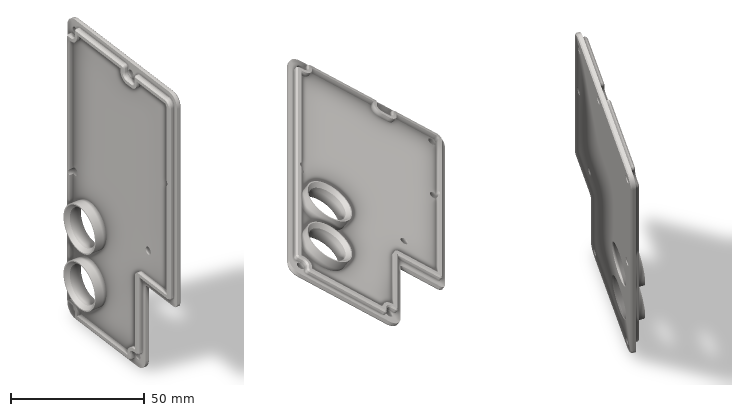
import cadquery as cq
width = 70.0
height = 135.0
leg_width = 50.0
step_height = 39.5
plate_thickness = 2.0
corner_radius = 5.0
step_outer_radius = 2.0
step_inner_radius = 1.0
back_chamfer = 0.5

lip_height = 2.0
lip_thickness = 2.0
lip_chamfer = 0.6
lip_inset = 2.0
lip_step_inset = 3.0
lip_top_right_inset = 2.4
lip_corner_radius = 3.0
lip_edge_radius = 1.2
relief_radius = 1.95
relief_end_x = 45.0
relief_end_radius = 1.2

hole_diameter = 3.3
corner_hole_inset = corner_radius
top_hole_x = 40.6
corner_holes = [
    (corner_hole_inset, corner_hole_inset),
    (leg_width - corner_hole_inset, corner_hole_inset),
    (corner_hole_inset, height - corner_hole_inset),
    (top_hole_x, height - corner_hole_inset),
]
inner_holes = [
    (64.2, 128.5),
    (65.0, 95.0),
    (5.0, 66.3),
    (51.7, 56.0),
]

collar_x = 14.7
lower_collar_z = 21.9
collar_pitch = 25.75
collar_z_positions = (lower_collar_z, lower_collar_z + collar_pitch)
collar_outer_diameter = 20.5
collar_bore_diameter = 16.5
collar_mouth_diameter = 19.5
collar_mouth_depth = 1.5
collar_reach = 7.0


def front_plane(depth):
    """XZ sketch plane at the given depth in front of the back face; extrudes towards -Y."""
    return cq.Workplane("XZ", origin=(0, -depth, 0))


def near(x, z, y):
    """Selector for the single edge closest to a point."""
    return cq.selectors.NearestToPointSelector((x, y, z))


def make_plate():
    """L-shaped plate with rounded corners and a chamfered back edge."""
    plate = (
        front_plane(0)
        .moveTo(0, 0)
        .lineTo(leg_width, 0)
        .lineTo(leg_width, step_height)
        .lineTo(width, step_height)
        .lineTo(width, height)
        .lineTo(0, height)
        .close()
        .extrude(plate_thickness)
    )
    mid_y = -plate_thickness / 2
    for x, z in ((0, 0), (leg_width, 0), (width, height), (0, height)):
        plate = plate.edges("|Y").edges(near(x, z, mid_y)).fillet(corner_radius)
    plate = plate.edges("|Y").edges(near(width, step_height, mid_y)).fillet(step_outer_radius)
    plate = plate.edges("|Y").edges(near(leg_width, step_height, mid_y)).fillet(step_inner_radius)
    return plate.faces(">Y").edges().chamfer(back_chamfer)


def make_lip():
    """Lip with reliefs stepping inwards around the screw holes at the edge of the plate."""
    left = lip_inset
    right = width - lip_inset
    bottom = lip_inset
    top = height - lip_inset
    top_right = height - lip_top_right_inset
    leg_right = leg_width - lip_inset
    step_z = step_height + lip_step_inset
    low_relief_z = corner_hole_inset + relief_radius
    high_relief_z = height - low_relief_z
    left_relief_x = corner_hole_inset + relief_radius
    leg_relief_x = leg_width - left_relief_x
    top_relief_x = top_hole_x - relief_radius

    corners = [
        (left_relief_x, bottom, lip_edge_radius),
        (leg_relief_x, bottom, lip_edge_radius),
        (leg_relief_x, low_relief_z, relief_radius),
        (leg_right, low_relief_z, lip_edge_radius),
        (leg_right, step_z, 0),
        (right, step_z, lip_edge_radius),
        (right, top_right, lip_corner_radius),
        (relief_end_x, top_right, lip_edge_radius),
        (relief_end_x, high_relief_z, relief_end_radius),
        (top_relief_x, high_relief_z, relief_radius),
        (top_relief_x, top, lip_edge_radius),
        (left_relief_x, top, lip_edge_radius),
        (left_relief_x, high_relief_z, relief_radius),
        (left, high_relief_z, lip_edge_radius),
        (left, low_relief_z, lip_edge_radius),
        (left_relief_x, low_relief_z, relief_radius),
    ]
    outline = front_plane(plate_thickness).polyline([(x, z) for x, z, _ in corners]).close()
    lip = outline.extrude(lip_height)
    mid_y = -plate_thickness - lip_height / 2
    for x, z, radius in corners:
        if radius > 0:
            lip = lip.edges("|Y").edges(near(x, z, mid_y)).fillet(radius)
    pocket_outline = lip.faces("<Y").wires().toPending().offset2D(-lip_thickness)
    pocket = pocket_outline.extrude(-lip_height, combine=False)
    lip = lip.faces("<Y").edges().chamfer(lip_chamfer)
    return lip.cut(pocket)


def make_collars():
    """Solid discs that the bores later open into collars."""
    centers = [(collar_x, z) for z in collar_z_positions]
    return (
        front_plane(plate_thickness)
        .pushPoints(centers)
        .circle(collar_outer_diameter / 2)
        .extrude(collar_reach - plate_thickness)
    )


def make_collar_bore(z):
    """Through bore with a conical mouth at the front end and a chamfered back end."""
    bore_radius = collar_bore_diameter / 2
    mouth_radius = collar_mouth_diameter / 2
    bore = front_plane(0).center(collar_x, z).circle(bore_radius).extrude(collar_reach)
    mouth = cq.Solid.makeCone(
        mouth_radius,
        bore_radius,
        collar_mouth_depth,
        pnt=cq.Vector(collar_x, -collar_reach, z),
        dir=cq.Vector(0, 1, 0),
    )
    exit_bevel = cq.Solid.makeCone(
        bore_radius + back_chamfer,
        bore_radius,
        back_chamfer,
        pnt=cq.Vector(collar_x, 0, z),
        dir=cq.Vector(0, -1, 0),
    )
    return bore.union(cq.Workplane(mouth)).union(cq.Workplane(exit_bevel))


def make_screw_holes():
    """Cutters for all the through holes, deep enough to notch the lip where they meet it."""
    return (
        front_plane(0)
        .pushPoints(corner_holes + inner_holes)
        .circle(hole_diameter / 2)
        .extrude(plate_thickness + lip_height)
    )


result = make_plate().union(make_lip()).union(make_collars()).cut(make_screw_holes())
for collar_z in collar_z_positions:
    result = result.cut(make_collar_bore(collar_z))